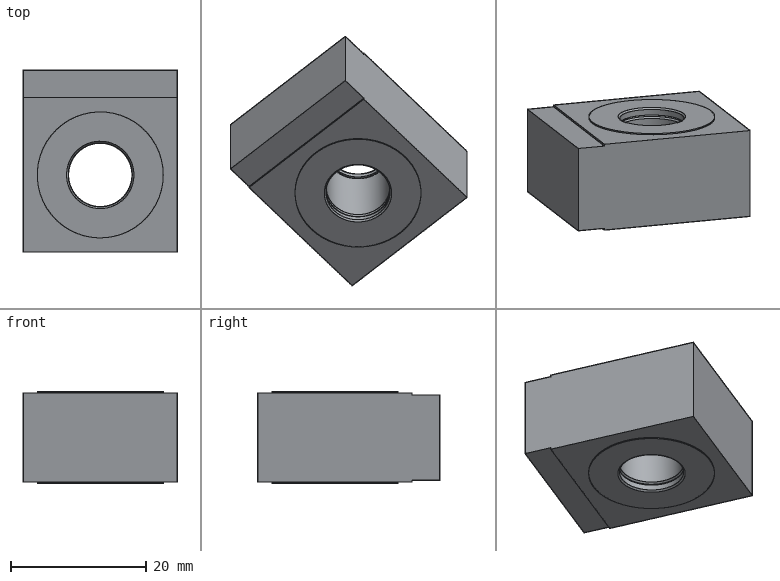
import cadquery as cq

block_width = 22.88
block_length = 26.98
block_height = 13.22
bore_to_front = block_width / 2
bore_to_back = block_length - bore_to_front
bore_to_shoulder = bore_to_front

step_depth = 0.27

stack_height = 13.6
disc_diameter = 18.67
disc_thickness = 1.1
disc_bore = 9.5
disc_chamfer = 0.25
sleeve_gap = 0.27
sleeve_bore = 9.4
sleeve_chamfer = 0.25
sleeve_height = stack_height - 2 * (disc_thickness + sleeve_gap)
sleeve_diameter = 12.95


def cylinder(diameter, bottom, height):
    """Solid cylinder on the bore axis, standing on height `bottom`."""
    return cq.Workplane("XY").workplane(offset=bottom).circle(diameter / 2).extrude(height)


def make_housing():
    """Stepped block with a seat for each disc and a through hole for the sleeve."""
    top = block_height / 2
    strip_top = top - step_depth
    body = (
        cq.Workplane("YZ")
        .polyline([
            (-bore_to_front, -top),
            (bore_to_shoulder, -top),
            (bore_to_shoulder, -strip_top),
            (bore_to_back, -strip_top),
            (bore_to_back, strip_top),
            (bore_to_shoulder, strip_top),
            (bore_to_shoulder, top),
            (-bore_to_front, top),
        ])
        .close()
        .extrude(block_width / 2, both=True)
    )
    seat_floor = stack_height / 2 - disc_thickness
    body = body.cut(cylinder(disc_diameter, seat_floor, disc_thickness))
    body = body.cut(cylinder(disc_diameter, -stack_height / 2, disc_thickness))
    return body.cut(cylinder(sleeve_diameter, -stack_height / 2, stack_height))


def make_disc(side):
    """Bearing disc standing proud of the block; side is 1 for the top, -1 for the bottom."""
    bottom = stack_height / 2 - disc_thickness
    disc = cylinder(disc_diameter, bottom, disc_thickness)
    disc = disc.cut(cylinder(disc_bore, bottom, disc_thickness))
    disc = disc.faces(">Z").edges(cq.selectors.RadiusNthSelector(0)).chamfer(disc_chamfer)
    if side < 0:
        disc = disc.mirror("XY")
    return disc


def make_sleeve():
    """Middle sleeve, chamfered at both ends of its bore, with a gap to each disc."""
    sleeve = cylinder(sleeve_diameter, -sleeve_height / 2, sleeve_height)
    sleeve = sleeve.cut(cylinder(sleeve_bore, -sleeve_height / 2, sleeve_height))
    return sleeve.edges(cq.selectors.RadiusNthSelector(0)).chamfer(sleeve_chamfer)


housing = make_housing()
discs = [make_disc(side) for side in (1, -1)]
sleeve = make_sleeve()

result = cq.Compound.makeCompound([housing.val(), *[disc.val() for disc in discs], sleeve.val()])